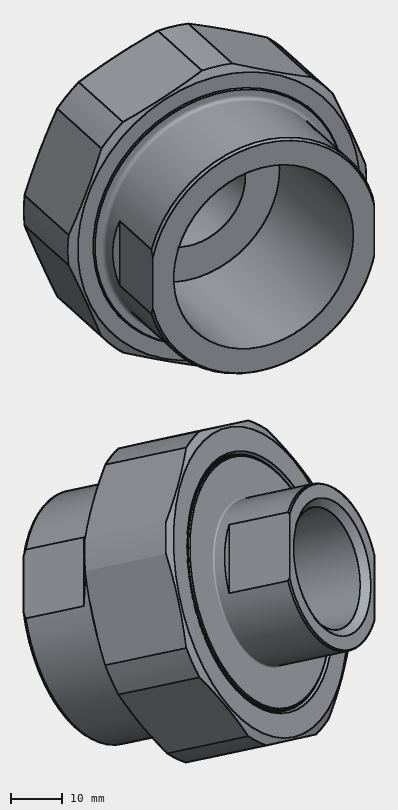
import cadquery as cq
import math


overall_length = 55.5
nut_start = 16.55
nut_length = 20.0
nut_end = nut_start + nut_length
lip_length = 3.9
flange_thickness = 3.9
joint_x = nut_start + lip_length + flange_thickness
collar_end = nut_end + 0.4

nut_corner_radius = 64.7 / 2
nut_across_flats = 61.95
nut_sides = 8
nut_face_radius = 61.05 / 2
nut_chamfer_length = 0.65
lip_radius = 50.5 / 2
lip_chamfer = 0.45
nut_bore_radius = 54.4 / 2

small_pipe_radius = 33 / 2
small_bore_radius = 24.1 / 2
mouth_chamfer = 1.5
small_end_chamfer_length = 0.4
small_end_chamfer_depth = 0.2
small_root_fillet = 0.3
hub_radius = 50.0 / 2
hub_chamfer = 0.25
flange_radius = 54.0 / 2

large_pipe_radius = 50.0 / 2
large_bore_radius = 38.95 / 2
large_end_chamfer_length = 0.6
large_end_chamfer_depth = 0.4
large_root_fillet = 0.8

flat_length = 14.0
small_flat_offset = 29.9 / 2
large_flat_offset = 48.0 / 2

AXIS_START = (0, 0, 0)
AXIS_END = (1, 0, 0)


def revolve_about_x(profile):
    """Full turn of a closed (x, radius) profile about the X axis."""
    return profile.close().revolve(360, AXIS_START, AXIS_END)


def make_nut():
    circumscribed_diameter = nut_across_flats / math.cos(math.pi / nut_sides)
    prism = (
        cq.Workplane("YZ", origin=(nut_start, 0, 0))
        .polygon(nut_sides, circumscribed_diameter)
        .extrude(nut_length)
    )
    turned_body = revolve_about_x(
        cq.Workplane("XY")
        .moveTo(nut_start, lip_radius + lip_chamfer)
        .lineTo(nut_start, nut_face_radius)
        .lineTo(nut_start + nut_chamfer_length, nut_corner_radius)
        .lineTo(nut_end - nut_chamfer_length, nut_corner_radius)
        .lineTo(nut_end, nut_face_radius)
        .lineTo(nut_end, nut_bore_radius)
        .lineTo(nut_start + lip_length, nut_bore_radius)
        .lineTo(nut_start + lip_length, lip_radius)
        .lineTo(nut_start + lip_chamfer, lip_radius)
    )
    return prism.intersect(turned_body)


def make_small_tailpiece():
    fillet_mid = small_root_fillet * (1 - math.sqrt(0.5))
    body = revolve_about_x(
        cq.Workplane("XY")
        .moveTo(0, small_bore_radius + mouth_chamfer)
        .lineTo(0, small_pipe_radius - small_end_chamfer_depth)
        .lineTo(small_end_chamfer_length, small_pipe_radius)
        .lineTo(nut_start - small_root_fillet, small_pipe_radius)
        .threePointArc(
            (nut_start - fillet_mid, small_pipe_radius + fillet_mid),
            (nut_start, small_pipe_radius + small_root_fillet),
        )
        .lineTo(nut_start, hub_radius - hub_chamfer)
        .lineTo(nut_start + hub_chamfer, hub_radius)
        .lineTo(nut_start + lip_length, hub_radius)
        .lineTo(nut_start + lip_length, flange_radius)
        .lineTo(joint_x, flange_radius)
        .lineTo(joint_x, small_bore_radius)
        .lineTo(mouth_chamfer, small_bore_radius)
    )
    flat_depth = small_pipe_radius - small_flat_offset
    for side in (-1, 1):
        cutter = cq.Workplane("XY").box(
            flat_length, 2 * flat_depth, 2 * small_pipe_radius, centered=(False, True, True)
        )
        body = body.cut(cutter.translate((0, side * (small_flat_offset + flat_depth), 0)))
    return body


def make_large_tailpiece():
    fillet_mid = large_root_fillet * (1 - math.sqrt(0.5))
    body = revolve_about_x(
        cq.Workplane("XY")
        .moveTo(joint_x, large_bore_radius)
        .lineTo(joint_x, flange_radius)
        .lineTo(collar_end, flange_radius)
        .lineTo(collar_end, large_pipe_radius + large_root_fillet)
        .threePointArc(
            (collar_end + fillet_mid, large_pipe_radius + fillet_mid),
            (collar_end + large_root_fillet, large_pipe_radius),
        )
        .lineTo(overall_length - large_end_chamfer_length, large_pipe_radius)
        .lineTo(overall_length, large_pipe_radius - large_end_chamfer_depth)
        .lineTo(overall_length, large_bore_radius)
    )
    flat_start = overall_length - flat_length
    cut_depth = 2 * (large_pipe_radius - large_flat_offset)
    cutter = (
        cq.Workplane("XY")
        .moveTo(flat_start, large_flat_offset)
        .lineTo(overall_length, large_flat_offset)
        .lineTo(overall_length, large_flat_offset + cut_depth)
        .lineTo(flat_start - cut_depth, large_flat_offset + cut_depth)
        .close()
        .extrude(large_pipe_radius, both=True)
    )
    return body.cut(cutter).cut(cutter.mirror("XZ"))


nut = make_nut()
small_tailpiece = make_small_tailpiece()
large_tailpiece = make_large_tailpiece()

result = cq.Compound.makeCompound([nut.val(), small_tailpiece.val(), large_tailpiece.val()])